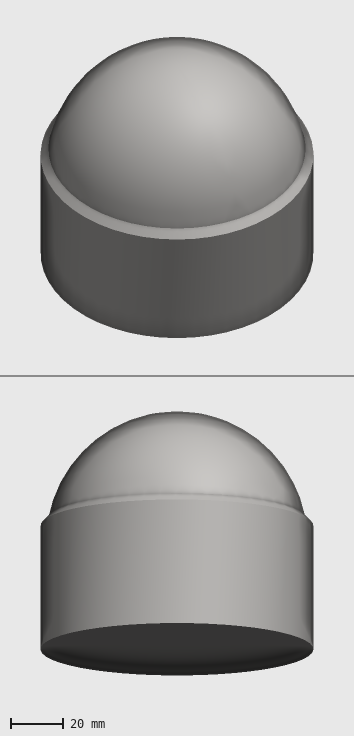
import cadquery as cq
import math

body_diameter = 104.2
total_height = 91.6
body_height = 48.1
bevel_size = 3.0

body_radius = body_diameter / 2
dome_base_radius = body_radius - bevel_size
dome_base_height = body_height + bevel_size
dome_rise = total_height - dome_base_height

dome_sphere_radius = (dome_base_radius**2 + dome_rise**2) / (2 * dome_rise)
dome_center_height = total_height - dome_sphere_radius


def dome_arc_midpoint():
    """Point halfway along the dome arc, as (radius, height)."""
    base_angle = math.atan2(dome_base_height - dome_center_height, dome_base_radius)
    mid_angle = (base_angle + math.pi / 2) / 2
    return (
        dome_sphere_radius * math.cos(mid_angle),
        dome_center_height + dome_sphere_radius * math.sin(mid_angle),
    )


def domed_cap():
    """Solid cap: cylinder, bevel and spherical dome, revolved about Z."""
    half_section = (
        cq.Workplane("XZ")
        .lineTo(body_radius, 0)
        .lineTo(body_radius, body_height)
        .lineTo(dome_base_radius, dome_base_height)
        .threePointArc(dome_arc_midpoint(), (0, total_height))
        .close()
    )
    return half_section.revolve(360, (0, 0, 0), (0, 1, 0))


result = domed_cap()